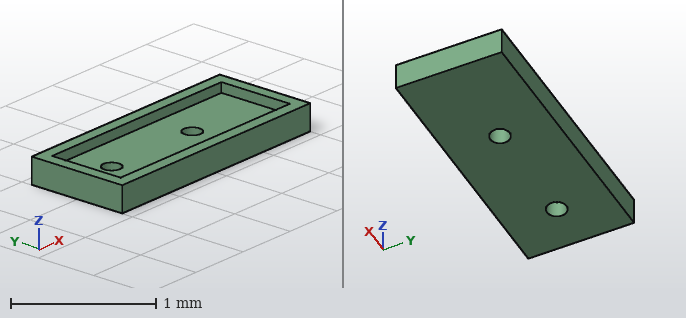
import cadquery as cq

length = 2.0
width = 0.82
height = 0.21
wall = 0.1
pocket_depth = 0.08

hole_diameter = 0.15
hole_distances = (0.37, 1.225)

body = cq.Workplane("XY").box(length, width, height, centered=(True, True, False))

pocket = (
    cq.Workplane("XY")
    .workplane(offset=height - pocket_depth)
    .rect(length - 2 * wall, width - 2 * wall)
    .extrude(pocket_depth)
)

hole_centres = [(distance - length / 2, 0) for distance in hole_distances]
holes = (
    cq.Workplane("XY")
    .pushPoints(hole_centres)
    .circle(hole_diameter / 2)
    .extrude(height)
)

result = body.cut(pocket).cut(holes)